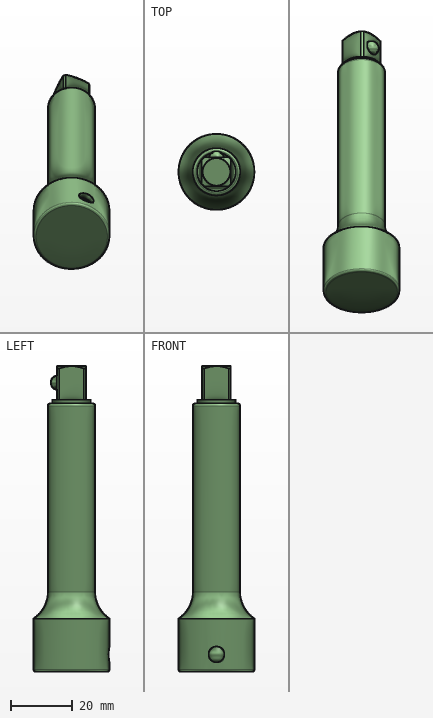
import cadquery as cq

TOTAL_HEIGHT = 100.3
HEAD_RADIUS = 25.0 / 2
SHAFT_RADIUS = 15.5 / 2
COLLAR_RADIUS = 12.6 / 2

FLARE_BOTTOM = 17.5
FLARE_TOP = 26.2
SHAFT_TOP = 88.1
COLLAR_TOP = 89.3

SHAFT_ROUND = 0.9
HEAD_ROUND = 0.8

DRIVE_SIZE = 9.5
DRIVE_CORNER_CHAMFER = 0.7
DRIVE_TIP_RADIUS = 4.5
DRIVE_TIP_SLOPE = 0.5

BALL_RADIUS = 2.4
BALL_CENTER_Y = 4.4
BALL_CENTER_Z = 94.8

PIN_RADIUS = 2.6
PIN_Z = 5.7
PIN_RIM_DEPTH = 1.9
PIN_DOME_HEIGHT = 0.8
PIN_LENGTH = 5.0
PIN_RIM_Y = -HEAD_RADIUS + PIN_RIM_DEPTH
PIN_BASE_Y = PIN_RIM_Y + PIN_LENGTH


def make_turned_blank():
    """Head, concave flare tangent to the shaft, shaft and collar."""
    flare_width = HEAD_RADIUS - SHAFT_RADIUS
    flare_height = FLARE_TOP - FLARE_BOTTOM
    flare_radius = (flare_width**2 + flare_height**2) / (2 * flare_width)
    profile = (
        cq.Workplane("XZ")
        .lineTo(HEAD_RADIUS - HEAD_ROUND, 0)
        .radiusArc((HEAD_RADIUS, HEAD_ROUND), -HEAD_ROUND)
        .lineTo(HEAD_RADIUS, FLARE_BOTTOM)
        .radiusArc((SHAFT_RADIUS, FLARE_TOP), flare_radius)
        .lineTo(SHAFT_RADIUS, SHAFT_TOP - SHAFT_ROUND)
        .radiusArc((SHAFT_RADIUS - SHAFT_ROUND, SHAFT_TOP), -SHAFT_ROUND)
        .lineTo(COLLAR_RADIUS, SHAFT_TOP)
        .lineTo(COLLAR_RADIUS, COLLAR_TOP)
        .lineTo(0, COLLAR_TOP)
        .close()
    )
    return profile.revolve(360, (0, 0, 0), (0, 1, 0))


def make_drive():
    """Square with chamfered corners, its top trimmed by a shallow cone."""
    drive_height = TOTAL_HEIGHT - COLLAR_TOP
    square = (
        cq.Workplane("XY", origin=(0, 0, COLLAR_TOP))
        .rect(DRIVE_SIZE, DRIVE_SIZE)
        .extrude(drive_height)
        .edges("|Z")
        .chamfer(DRIVE_CORNER_CHAMFER)
    )
    cone_radius = DRIVE_TIP_RADIUS + drive_height / DRIVE_TIP_SLOPE
    cone = (
        cq.Workplane("XZ", origin=(0, 0, COLLAR_TOP))
        .lineTo(cone_radius, 0)
        .lineTo(DRIVE_TIP_RADIUS, drive_height)
        .lineTo(0, drive_height)
        .close()
        .revolve(360, (0, 0, 0), (0, 1, 0))
    )
    return square.intersect(cone)


def make_detent_ball():
    return cq.Workplane("XY").sphere(BALL_RADIUS).translate((0, BALL_CENTER_Y, BALL_CENTER_Z))


def make_pin():
    """Round pin along Y whose outer end is a spherical dome."""
    dome_radius = (PIN_RADIUS**2 + PIN_DOME_HEIGHT**2) / (2 * PIN_DOME_HEIGHT)
    profile = (
        cq.Workplane("XY", origin=(0, 0, PIN_Z))
        .moveTo(0, PIN_BASE_Y)
        .lineTo(PIN_RADIUS, PIN_BASE_Y)
        .lineTo(PIN_RADIUS, PIN_RIM_Y)
        .radiusArc((0, PIN_RIM_Y - PIN_DOME_HEIGHT), dome_radius)
        .close()
    )
    return profile.revolve(360, (0, 0, 0), (0, 1, 0))


def make_cross_hole():
    """Cutter from the base of the pin out through the side of the head."""
    return (
        cq.Workplane("XZ", origin=(0, PIN_BASE_Y, PIN_Z))
        .circle(PIN_RADIUS)
        .extrude(HEAD_RADIUS + PIN_BASE_Y)
    )


detent_ball = make_detent_ball()
pin = make_pin()
extension_bar = make_turned_blank().union(make_drive()).cut(make_cross_hole()).cut(detent_ball)

result = cq.Compound.makeCompound([extension_bar.val(), detent_ball.val(), pin.val()])